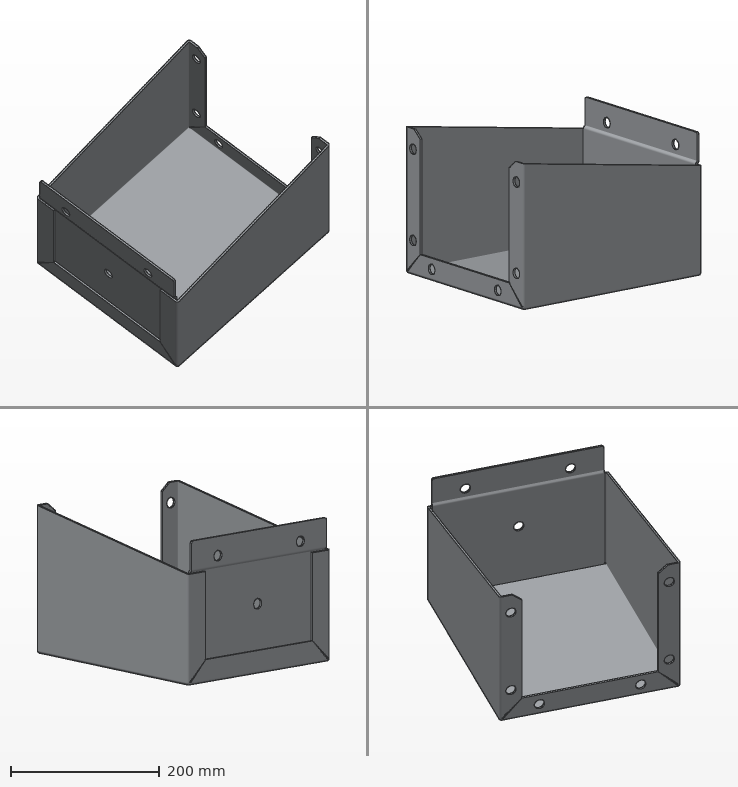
import cadquery as cq
import math

WIDTH = 257.3
DEPTH = 304.8
REAR_HEIGHT = 203.3
FRONT_HEIGHT = 152.5

SHEET = 3.0
INNER_BEND = 0.5
OUTER_BEND = SHEET + INNER_BEND

FLANGE = 31.7
MITRE_GAP = 1.5
REAR_CHAMFER_WIDTH = 13.7
REAR_CHAMFER_HEIGHT = 11.3

HOLE_DIAMETER = 14.3
REAR_HOLE_EDGE = 16.2
REAR_SIDE_HOLE_HEIGHTS = (48.2, 175.0)
REAR_BASE_HOLE_X = 72.0
PANEL_TOP_HOLE_X = 74.7
PANEL_TOP_HOLE_HEIGHT = 171.3
PANEL_CENTRE_HOLE_HEIGHT = 95.0

PANEL_EDGE_GAP = 6.5
PANEL_TOP = 197.5
PANEL_CORNER = 3.7
JOGGLE_TOP = 158.2
JOGGLE_ANGLE = math.radians(45)

HALF_WIDTH = WIDTH / 2
HALF_DEPTH = DEPTH / 2


def wall_outline(inset, front_height, rear_height):
    """Solid with a sloping top, inset from the outer faces of the walls and base."""
    half_depth = HALF_DEPTH - inset
    return (
        cq.Workplane("YZ")
        .moveTo(-half_depth, inset)
        .lineTo(half_depth, inset)
        .lineTo(half_depth, rear_height)
        .lineTo(-half_depth, front_height)
        .close()
        .extrude(HALF_WIDTH - inset, both=True)
    )


def round_bends(solid, radius):
    """Round the upright edges and the edges around the base."""
    return solid.edges("|Z or <Z").fillet(radius)


def block_through_wall(points, wall_y):
    """Cutter with the given XZ outline, passing through the front or rear wall at wall_y."""
    return (
        cq.Workplane("XZ", origin=(0, wall_y, 0))
        .polyline(points)
        .close()
        .extrude(2 * SHEET, both=True)
    )


def holes_through_wall(centres, wall_y):
    """Round cutters at the given XZ centres, passing through the wall at wall_y."""
    return (
        cq.Workplane("XZ", origin=(0, wall_y, 0))
        .pushPoints(centres)
        .circle(HOLE_DIAMETER / 2)
        .extrude(2 * SHEET, both=True)
    )


def flange_opening(wall_y):
    """Opening left between the flanges of one wall."""
    half_opening = HALF_WIDTH - FLANGE
    points = [
        (-half_opening, FLANGE),
        (half_opening, FLANGE),
        (half_opening, REAR_HEIGHT),
        (-half_opening, REAR_HEIGHT),
    ]
    return block_through_wall(points, wall_y)


def rear_chamfer(side):
    """Cutter for the top inner corner of one rear side flange."""
    flange_edge = HALF_WIDTH - FLANGE
    points = [
        (side * flange_edge, REAR_HEIGHT),
        (side * (flange_edge + REAR_CHAMFER_WIDTH), REAR_HEIGHT),
        (side * flange_edge, REAR_HEIGHT - REAR_CHAMFER_HEIGHT),
    ]
    return block_through_wall(points, HALF_DEPTH)


def mitre_gap(side, wall_y):
    """Tapered joint between the base flange and the side flange at one corner."""
    tip = (side * (HALF_WIDTH - FLANGE), FLANGE)
    shift = MITRE_GAP / 2 / math.sqrt(2)
    inset = OUTER_BEND + shift
    corner_x = HALF_WIDTH - inset
    points = [
        tip,
        (side * (corner_x + shift), inset + shift),
        (side * (corner_x - shift), inset - shift),
    ]
    return block_through_wall(points, wall_y)


def make_box():
    outside = round_bends(wall_outline(0, FRONT_HEIGHT, REAR_HEIGHT), OUTER_BEND)
    cavity = wall_outline(SHEET, REAR_HEIGHT, 2 * REAR_HEIGHT)
    box = outside.cut(round_bends(cavity, INNER_BEND))

    for wall_y in (-HALF_DEPTH, HALF_DEPTH):
        box = box.cut(flange_opening(wall_y))
        for side in (-1, 1):
            box = box.cut(mitre_gap(side, wall_y))
    for side in (-1, 1):
        box = box.cut(rear_chamfer(side))

    rear_holes = []
    for side in (-1, 1):
        rear_holes.append((side * REAR_BASE_HOLE_X, REAR_HOLE_EDGE))
        for height in REAR_SIDE_HOLE_HEIGHTS:
            rear_holes.append((side * (HALF_WIDTH - REAR_HOLE_EDGE), height))
    return box.cut(holes_through_wall(rear_holes, HALF_DEPTH))


def make_panel():
    front = -HALF_DEPTH
    middle = front + SHEET
    back = middle + SHEET
    bend_radii = INNER_BEND + OUTER_BEND
    slope_step = SHEET - bend_radii * (1 - math.cos(JOGGLE_ANGLE))
    slope_height = slope_step / math.tan(JOGGLE_ANGLE)
    joggle_height = bend_radii * math.sin(JOGGLE_ANGLE) + slope_height
    joggle_bottom = JOGGLE_TOP - joggle_height

    def upper_bend(radius, angle):
        return (
            middle + INNER_BEND - radius * math.cos(angle),
            JOGGLE_TOP - radius * math.sin(angle),
        )

    def lower_bend(radius, angle):
        return (
            middle - INNER_BEND + radius * math.cos(angle),
            joggle_bottom + radius * math.sin(angle),
        )

    half_angle = JOGGLE_ANGLE / 2
    panel = (
        cq.Workplane("YZ")
        .moveTo(front, PANEL_TOP)
        .lineTo(front, JOGGLE_TOP)
        .threePointArc(upper_bend(OUTER_BEND, half_angle), upper_bend(OUTER_BEND, JOGGLE_ANGLE))
        .lineTo(*lower_bend(INNER_BEND, JOGGLE_ANGLE))
        .threePointArc(lower_bend(INNER_BEND, half_angle), (middle, joggle_bottom))
        .lineTo(middle, PANEL_EDGE_GAP)
        .lineTo(back, PANEL_EDGE_GAP)
        .lineTo(back, joggle_bottom)
        .threePointArc(lower_bend(OUTER_BEND, half_angle), lower_bend(OUTER_BEND, JOGGLE_ANGLE))
        .lineTo(*upper_bend(INNER_BEND, JOGGLE_ANGLE))
        .threePointArc(upper_bend(INNER_BEND, half_angle), (middle, JOGGLE_TOP))
        .lineTo(middle, PANEL_TOP)
        .close()
        .extrude(HALF_WIDTH - PANEL_EDGE_GAP, both=True)
    )
    panel = panel.faces(">Z").edges("|Y").fillet(PANEL_CORNER)

    panel_holes = [(0, PANEL_CENTRE_HOLE_HEIGHT)]
    for side in (-1, 1):
        panel_holes.append((side * PANEL_TOP_HOLE_X, PANEL_TOP_HOLE_HEIGHT))
    return panel.cut(holes_through_wall(panel_holes, middle))


box = make_box()
panel = make_panel()

result = cq.Compound.makeCompound([box.val(), panel.val()])